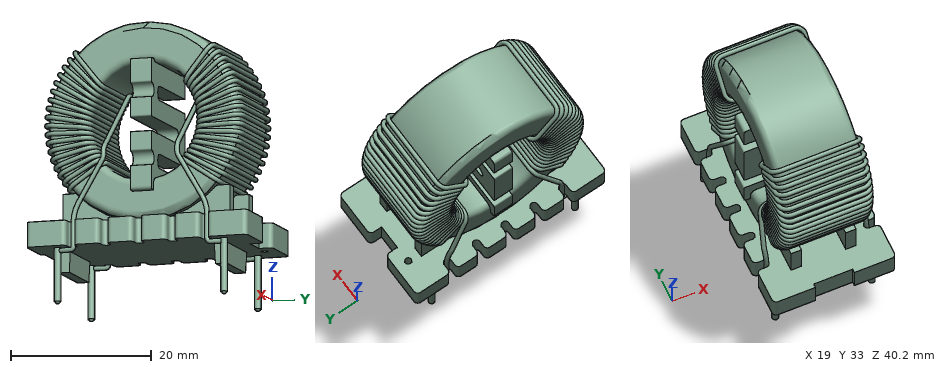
import cadquery as cq
import math


BASE_LENGTH = 33.0
BASE_WIDTH = 19.0
BASE_THICKNESS = 3.6
CORNER_RADIUS = 0.7
SLOT_WIDTH = 1.2
SLOT_DEPTH = 2.15
SLOT_COUNT = 5
SLOT_SPAN = 20.0
SLOT_PITCH = SLOT_SPAN / (SLOT_COUNT - 1)
FRONT_NOTCH_WIDTH = 6.05
FRONT_NOTCH_DEPTH = 0.6
BACK_NOTCH_WIDTH = 3.85
BACK_NOTCH_DEPTH = 2.0
MARK_HOLE_DIAMETER = 1.0
MARK_HOLE_X = -4.55
MARK_HOLE_Y = 14.45

RIB_THICKNESS = 1.6
RIB_SPACING = 8.5
RIB_LENGTH = 25.0
RIB_HEIGHT = 4.55
FOOT_WIDTH = 8.8
FOOT_LENGTH = 1.9
FOOT_HEIGHT = 2.97
FOOT_DRAFT = 2.5
FOOT_CENTRES_Y = (-12.6, 10.9)

CORE_DIAMETER = 28.5
BORE_DIAMETER = 17.0
CORE_WIDTH = 13.02
CORE_EDGE_RADIUS = 1.0
CORE_LIFT = 0.1
CORE_CENTRE_Z = CORE_DIAMETER / 2 + CORE_LIFT
CRADLE_CLEARANCE = 0.12
CRADLE_RADIUS = CORE_DIAMETER / 2 + CRADLE_CLEARANCE

DIVIDER_LENGTH = 15.0
DIVIDER_THICKNESS = 3.15
DIVIDER_HEIGHT = 19.0
DIVIDER_DROP = 0.72
DIVIDER_EDGE_RADIUS = 0.5
DIVIDER_SLOT_HEIGHT = 2.05
DIVIDER_SLOT_PITCH = 4.9
DIVIDER_SLOT_TIP_X = 4.65
DIVIDER_WEB = 1.6
SLOT_MOUTH_RADIUS = 0.25

WIRE_DIAMETER = 0.7
WIRE_RADIUS = WIRE_DIAMETER / 2
WIRE_GAP = 0.05
WIRE_OFFSET = WIRE_RADIUS + WIRE_GAP
TURN_COUNT = 18
TURN_STEP = 5.0
FIRST_ANGLE = -45.0
LAST_ANGLE = FIRST_ANGLE + TURN_COUNT * TURN_STEP
BEND_RADIUS = CORE_EDGE_RADIUS + WIRE_OFFSET
LEAD_X = 7.75
LEAD_Y = SLOT_SPAN / 2
LEAD_KINK_Y = 9.15
LEAD_KINK_Z = CORE_CENTRE_Z - 11.5
LEAD_TURN_Z = CORE_CENTRE_Z - 12.95
LEAD_TURN_RADIUS = 5.63
LEAD_FOOT_RADIUS = 0.5
RETURN_Y = 5.5
RETURN_DROP_X = -3.6
RETURN_TOP_Z = CORE_CENTRE_Z - 3.95
RETURN_BOTTOM_Z = CORE_CENTRE_Z - 5.3
PIN_DIAMETER = 1.0
PIN_LENGTH = 8.0
PIN_TIP = 0.32
PIN_X = 7.48
PIN_Y = 12.45


def core_disc(radius, width):
    """A disc on the core axis, centred on the core."""
    return (
        cq.Workplane("YZ", origin=(-width / 2, 0, CORE_CENTRE_Z))
        .circle(radius)
        .extrude(width)
    )


def make_core():
    ring = core_disc(CORE_DIAMETER / 2, CORE_WIDTH).cut(core_disc(BORE_DIAMETER / 2, CORE_WIDTH))
    return ring.edges("%CIRCLE").fillet(CORE_EDGE_RADIUS)




def side_slots():
    """Round-ended slots through the plate along both long sides."""
    end_radius = SLOT_WIDTH / 2
    end_x = BASE_WIDTH / 2 - SLOT_DEPTH + end_radius
    slots = cq.Workplane("XY", origin=(0, 0, -BASE_THICKNESS))
    for i in range(SLOT_COUNT):
        y = i * SLOT_PITCH - SLOT_SPAN / 2
        for side in (-1, 1):
            slots = (
                slots.moveTo(side * BASE_WIDTH / 2, y - end_radius)
                .lineTo(side * end_x, y - end_radius)
                .threePointArc((side * (end_x - end_radius), y), (side * end_x, y + end_radius))
                .lineTo(side * BASE_WIDTH / 2, y + end_radius)
                .close()
            )
    return slots.extrude(BASE_THICKNESS)


def end_notch(width, depth, end):
    """A rectangular notch through the plate in the -Y (end = -1) or +Y (end = 1) edge."""
    edge_y = end * BASE_LENGTH / 2
    return (
        cq.Workplane("XY", origin=(0, edge_y, -BASE_THICKNESS))
        .rect(width, 2 * depth)
        .extrude(BASE_THICKNESS)
    )


def make_plate():
    plate = cq.Workplane("XY", origin=(0, 0, -BASE_THICKNESS)).rect(BASE_WIDTH, BASE_LENGTH)
    plate = plate.extrude(BASE_THICKNESS).cut(side_slots())
    plate = plate.cut(end_notch(BACK_NOTCH_WIDTH, BACK_NOTCH_DEPTH, 1))
    plate = plate.faces("<X or >X or >Y").edges("|Z").fillet(CORNER_RADIUS)
    plate = plate.cut(end_notch(FRONT_NOTCH_WIDTH, FRONT_NOTCH_DEPTH, -1))
    mark_hole = (
        cq.Workplane("XY", origin=(MARK_HOLE_X, MARK_HOLE_Y, -BASE_THICKNESS))
        .circle(MARK_HOLE_DIAMETER / 2)
        .extrude(BASE_THICKNESS)
    )
    return plate.cut(mark_hole)


def make_ribs():
    """Two rails under the core, hollowed to clear its outside."""
    ribs = (
        cq.Workplane("XY")
        .pushPoints([(-RIB_SPACING / 2, 0), (RIB_SPACING / 2, 0)])
        .rect(RIB_THICKNESS, RIB_LENGTH)
        .extrude(RIB_HEIGHT)
    )
    return ribs.cut(core_disc(CRADLE_RADIUS, BASE_WIDTH))


def make_foot(centre_y):
    return (
        cq.Workplane("XY", origin=(0, centre_y, -BASE_THICKNESS))
        .rect(FOOT_WIDTH, FOOT_LENGTH)
        .extrude(-FOOT_HEIGHT, taper=FOOT_DRAFT)
    )


def make_base():
    base = make_plate().union(make_ribs())
    for centre_y in FOOT_CENTRES_Y:
        base = base.union(make_foot(centre_y))
    return base




def divider_slot(centre_z, tip_x, side):
    """A slot through the divider along Y, from its side face to a rounded tip."""
    end_radius = DIVIDER_SLOT_HEIGHT / 2
    end_x = tip_x + side * end_radius
    mouth_x = side * DIVIDER_LENGTH / 2
    return (
        cq.Workplane("XZ", origin=(0, 0, centre_z))
        .moveTo(mouth_x, -end_radius)
        .lineTo(end_x, -end_radius)
        .threePointArc((tip_x, 0), (end_x, end_radius))
        .lineTo(mouth_x, end_radius)
        .close()
        .extrude(DIVIDER_THICKNESS / 2, both=True)
    )


def make_divider(core):
    """A bar through the bore whose ends hook over both faces of the core."""
    centre_z = CORE_CENTRE_Z - DIVIDER_DROP
    bar = (
        cq.Workplane("XY", origin=(0, 0, centre_z))
        .box(DIVIDER_LENGTH, DIVIDER_THICKNESS, DIVIDER_HEIGHT)
        .edges("|Y")
        .fillet(DIVIDER_EDGE_RADIUS)
    )
    bar = bar.cut(divider_slot(centre_z, -DIVIDER_SLOT_TIP_X, 1))
    for level in (-1, 1):
        slot_z = centre_z + level * DIVIDER_SLOT_PITCH
        bar = bar.cut(divider_slot(slot_z, DIVIDER_SLOT_TIP_X, -1))
        bar = bar.cut(divider_slot(slot_z, DIVIDER_SLOT_TIP_X + DIVIDER_WEB, 1))
    mouths = cq.selectors.BoxSelector(
        (-DIVIDER_LENGTH, -DIVIDER_THICKNESS, centre_z - DIVIDER_HEIGHT / 3),
        (DIVIDER_LENGTH, DIVIDER_THICKNESS, centre_z + DIVIDER_HEIGHT / 3),
    )
    bar = bar.faces("<X or >X").edges("|Y").edges(mouths).fillet(SLOT_MOUTH_RADIUS)
    return bar.cut(core)




def winding_route(end):
    """Corner points of a wire from pin to pin, each with its bend radius."""
    face_x = CORE_WIDTH / 2 + WIRE_OFFSET
    inner = BORE_DIAMETER / 2 - WIRE_OFFSET
    outer = CORE_DIAMETER / 2 + WIRE_OFFSET
    run_z = -BASE_THICKNESS - WIRE_OFFSET

    def on_ring(x, radius, degrees):
        angle = math.radians(degrees)
        return (x, end * radius * math.cos(angle), CORE_CENTRE_Z + radius * math.sin(angle))

    def lead(side):
        """From the pin under the base, up through the slot to the slanted run."""
        return [
            ((side * PIN_X, end * PIN_Y, run_z), 0),
            ((side * LEAD_X, end * LEAD_Y, run_z), LEAD_FOOT_RADIUS),
            ((side * LEAD_X, end * LEAD_Y, LEAD_TURN_Z), LEAD_TURN_RADIUS),
            ((side * LEAD_X, end * LEAD_KINK_Y, LEAD_KINK_Z), LEAD_FOOT_RADIUS),
        ]

    route = lead(-1)
    for i in range(TURN_COUNT):
        low = FIRST_ANGLE + i * TURN_STEP
        high = low + TURN_STEP
        turn = [
            on_ring(-face_x, inner, low),
            on_ring(face_x, inner, low),
            on_ring(face_x, outer, high),
            on_ring(-face_x, outer, high),
        ]
        route += [(corner, BEND_RADIUS) for corner in turn]
    return_z = CORE_CENTRE_Z + RETURN_Y * math.tan(math.radians(LAST_ANGLE))
    route += [
        ((-face_x, end * RETURN_Y, return_z), BEND_RADIUS),
        ((RETURN_DROP_X, end * RETURN_Y, return_z), BEND_RADIUS),
        ((LEAD_X, end * RETURN_Y, RETURN_TOP_Z), BEND_RADIUS),
        ((LEAD_X, end * RETURN_Y, RETURN_BOTTOM_Z), BEND_RADIUS),
    ]
    return route + lead(1)[::-1]


def bent_path(route):
    """A wire of straight runs joined by tangent arcs at the corner points."""
    points = [cq.Vector(*point) for point, _ in route]
    edges = []
    run_start = points[0]
    for i in range(1, len(points) - 1):
        corner = points[i]
        radius = route[i][1]
        back = (points[i - 1] - corner).normalized()
        ahead = (points[i + 1] - corner).normalized()
        half_angle = back.getAngle(ahead) / 2
        setback = radius / math.tan(half_angle)
        crown = radius / math.sin(half_angle) - radius
        arc_start = corner + back * setback
        arc_middle = corner + (back + ahead).normalized() * crown
        arc_end = corner + ahead * setback
        edges.append(cq.Edge.makeLine(run_start, arc_start))
        edges.append(cq.Edge.makeThreePointArc(arc_start, arc_middle, arc_end))
        run_start = arc_end
    edges.append(cq.Edge.makeLine(run_start, points[-1]))
    return cq.Wire.assembleEdges(edges)


def make_pin(x, y):
    return (
        cq.Workplane("XY", origin=(x, y, -BASE_THICKNESS))
        .circle(PIN_DIAMETER / 2)
        .extrude(-PIN_LENGTH)
        .faces("<Z")
        .chamfer(PIN_TIP)
    )


def make_winding(end):
    """The coil on the +Y (end = 1) or -Y (end = -1) half of the core with its pins, as one solid."""
    route = winding_route(end)
    start = cq.Vector(*route[0][0])
    direction = cq.Vector(*route[1][0]) - start
    section = cq.Workplane(cq.Plane(origin=start, normal=direction)).circle(WIRE_RADIUS)
    winding = section.sweep(cq.Workplane(bent_path(route)))
    for side in (-1, 1):
        winding = winding.union(make_pin(side * PIN_X, end * PIN_Y))
    return winding


core = make_core()
base = make_base()
divider = make_divider(core)

windings = cq.Workplane()
for end in (-1, 1):
    windings.add(make_winding(end).solids())

result = cq.Compound.makeCompound(
    [core.solids().val(), base.solids().val(), divider.solids().val(), *windings.vals()]
)